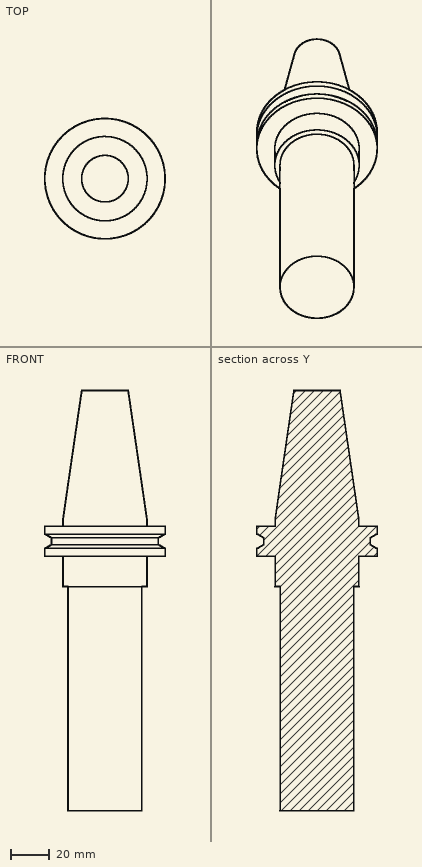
import cadquery as cq
import math

total_length = 221.25
gauge_diameter = 44.45
flange_diameter = 63.5
groove_root_diameter = 56.36
shank_diameter = 39.0

taper_length = 68.25
taper_ratio = 7 / 24
taper_tip_diameter = gauge_diameter - taper_length * taper_ratio

flange_top_depth = 3.18
flange_bottom_depth = 19.05
collar_bottom_depth = 35.0

groove_mouth_width = 7.6
groove_flank_angle = 30.0

gauge_z = total_length - taper_length
flange_top_z = gauge_z - flange_top_depth
flange_bottom_z = gauge_z - flange_bottom_depth
collar_bottom_z = gauge_z - collar_bottom_depth
groove_center_z = (flange_top_z + flange_bottom_z) / 2


def make_body():
    """Revolve the shank, collar, flange and taper about the Z axis."""
    gauge_radius = gauge_diameter / 2
    flange_radius = flange_diameter / 2
    shank_radius = shank_diameter / 2
    profile = [
        (0, 0),
        (shank_radius, 0),
        (shank_radius, collar_bottom_z),
        (gauge_radius, collar_bottom_z),
        (gauge_radius, flange_bottom_z),
        (flange_radius, flange_bottom_z),
        (flange_radius, flange_top_z),
        (gauge_radius, flange_top_z),
        (gauge_radius, gauge_z),
        (taper_tip_diameter / 2, total_length),
        (0, total_length),
    ]
    return cq.Workplane("XZ").polyline(profile).close().revolve(360, (0, 0), (0, 1))


def make_groove():
    """Ring with sloping flanks and a flat root, to cut from the flange rim."""
    rim_radius = flange_diameter / 2
    root_radius = groove_root_diameter / 2
    flank_rise = (rim_radius - root_radius) * math.tan(math.radians(groove_flank_angle))
    mouth_half = groove_mouth_width / 2
    root_half = mouth_half - flank_rise
    profile = [
        (rim_radius, groove_center_z - mouth_half),
        (rim_radius, groove_center_z + mouth_half),
        (root_radius, groove_center_z + root_half),
        (root_radius, groove_center_z - root_half),
    ]
    return cq.Workplane("XZ").polyline(profile).close().revolve(360, (0, 0), (0, 1))


result = make_body().cut(make_groove())